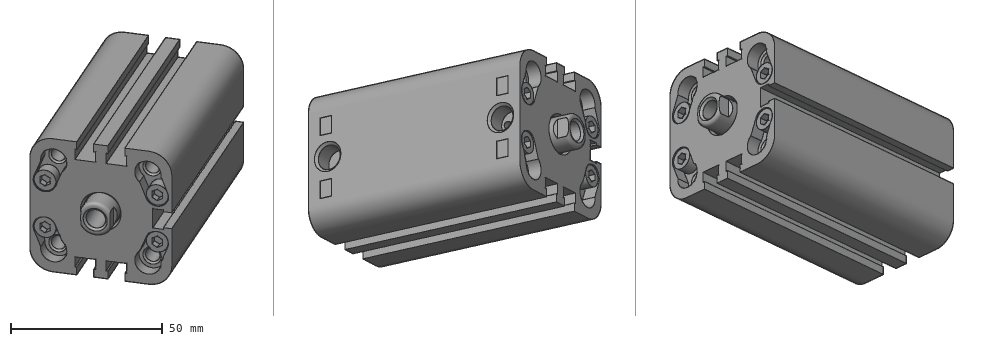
import cadquery as cq
import math


total_length = 90.2
width = 49.0
corner_radius = 7.9
rod_length = 6.5
half_width = width / 2
front_y = -total_length / 2 + rod_length
back_y = total_length / 2
body_length = back_y - front_y

slot_mouth = 5.9
slot_inner = 7.1
slot_lip = 2.9
slot_depth = 6.6
slot_offset = 5.37

mount_offset = 16.2
mount_diameter = 5.0
mount_sink_diameter = 6.3
mount_pocket_diameter = 9.0
pocket_depth = 5.0
screw_x = 19.35
screw_z = 8.61
screw_bore_diameter = 7.9
screw_head_diameter = 7.5
screw_recess = 0.4
hex_flats = 3.6
hex_depth = 2.7

rod_diameter = 12.0
rod_tip_fillet = 1.3
rod_flats = 10.0
rod_flat_length = 4.4
rod_bore = 6.7
rod_bore_sink = 8.3
rod_bore_depth = 12.6
rod_bore_cone_depth = 1.8
rod_bore_end = 1.7
rod_clearance = 12.5
rod_recess_mouth = 14.0
rod_recess_taper = 1.5
rod_recess_depth = 2.7

port_diameter = 8.6
port_sink_diameter = 10.5
port_depth = 7.2
port_inset = 7.7
passage_diameter = 2.5
passage_offset = 2.0
passage_depth = 3.6

label_length = 4.4
label_height = 6.1
label_depth = 0.2
label_inset = 6.95
label_z = 11.1


def turned(points, x=0, z=0):
    """Solid of revolution about a Y-parallel axis, from (radius, y) points."""
    profile = cq.Workplane("XY").polyline(points).close()
    return profile.revolve(360, (0, 0), (0, 1)).translate((x, 0, z))


def rod_along_y(diameter, start_y, end_y, x=0, z=0):
    """Cylinder parallel to Y between two Y positions."""
    radius = diameter / 2
    return turned([(0, start_y), (radius, start_y), (radius, end_y), (0, end_y)], x, z)


def make_body():
    block = cq.Workplane("XY").box(width, body_length, width)
    return block.edges("|Y").fillet(corner_radius).translate((0, (front_y + back_y) / 2, 0))


def slot_cutter(offset, angle):
    """Undercut groove opening on the +Z face at x = offset, turned about Y by angle."""
    mouth = cq.Workplane("XY").box(slot_mouth, total_length, slot_depth)
    mouth = mouth.translate((offset, 0, half_width - slot_depth / 2))
    inner_height = slot_depth - slot_lip
    inner = cq.Workplane("XY").box(slot_inner, total_length, inner_height)
    inner = inner.translate((offset, 0, half_width - slot_depth + inner_height / 2))
    return mouth.union(inner).rotate((0, 0, 0), (0, 1, 0), angle)


def mount_cutter(side_x, side_z):
    """Through hole, countersink and front pocket running from the hole to its screw."""
    hole_x = side_x * mount_offset
    hole_z = side_z * mount_offset
    head_x = side_x * screw_x
    head_z = side_z * screw_z
    floor_y = front_y + pocket_depth
    hole_radius = mount_diameter / 2
    sink_radius = mount_sink_diameter / 2
    hole = turned(
        [
            (0, floor_y),
            (sink_radius, floor_y),
            (hole_radius, floor_y + sink_radius - hole_radius),
            (hole_radius, back_y),
            (0, back_y),
        ],
        hole_x,
        hole_z,
    )
    pocket = rod_along_y(mount_pocket_diameter, front_y, floor_y, hole_x, hole_z)
    screw_bore = rod_along_y(screw_bore_diameter, front_y, floor_y, head_x, head_z)
    run_x = hole_x - head_x
    run_z = hole_z - head_z
    bridge = cq.Workplane("XY").box(math.hypot(run_x, run_z), pocket_depth, screw_bore_diameter)
    bridge = bridge.rotate((0, 0, 0), (0, 1, 0), -math.degrees(math.atan2(run_z, run_x)))
    bridge = bridge.translate(((hole_x + head_x) / 2, front_y + pocket_depth / 2, (hole_z + head_z) / 2))
    return hole.union(pocket).union(screw_bore).union(bridge)


def cap_screw(side_x, side_z):
    """Socket head standing on the pocket floor, hexagon points up and down."""
    x = side_x * screw_x
    z = side_z * screw_z
    head_y = front_y + screw_recess
    head = rod_along_y(screw_head_diameter, head_y, front_y + pocket_depth, x, z)
    hex_points_diameter = hex_flats / math.cos(math.pi / 6)
    socket = cq.Workplane("XZ").polygon(6, hex_points_diameter).extrude(-hex_depth)
    socket = socket.rotate((0, 0, 0), (0, 1, 0), 90).translate((x, head_y, z))
    return head.cut(socket)


def rod_recess():
    """Ring-shaped clearance around the rod with a tapered mouth."""
    mouth = rod_recess_mouth / 2
    clearance = rod_clearance / 2
    core = rod_diameter / 2
    return turned(
        [
            (core, front_y),
            (mouth, front_y),
            (clearance, front_y + rod_recess_taper),
            (clearance, front_y + rod_recess_depth),
            (core, front_y + rod_recess_depth),
        ]
    )


def rod_end():
    """Projecting rod with rounded tip and two wrench flats facing +X and -X."""
    tip_y = front_y - rod_length
    rod = rod_along_y(rod_diameter, tip_y, front_y).faces("<Y").edges().fillet(rod_tip_fillet)
    shoulder_y = tip_y + rod_flat_length
    half_flats = rod_flats / 2
    radius = rod_diameter / 2
    ramp = radius - half_flats
    for side in (-1, 1):
        flat = (
            cq.Workplane("XY")
            .polyline(
                [
                    (side * half_flats, tip_y),
                    (side * half_flats, shoulder_y),
                    (side * radius, shoulder_y + ramp),
                    (side * radius, tip_y),
                ]
            )
            .close()
            .extrude(radius, both=True)
        )
        rod = rod.cut(flat)
    return rod


def rod_bore_cutter():
    """Countersunk blind bore with a conical bottom."""
    tip_y = front_y - rod_length
    sink = rod_bore_sink / 2
    bore = rod_bore / 2
    end = rod_bore_end / 2
    bore_y = tip_y + rod_bore_depth
    return turned(
        [
            (0, tip_y),
            (sink, tip_y),
            (bore, tip_y + sink - bore),
            (bore, bore_y),
            (end, bore_y + rod_bore_cone_depth),
            (0, bore_y + rod_bore_cone_depth),
        ]
    )


def port_cutter(y, inward):
    """Countersunk air port at y; its passage is shifted toward the body middle."""
    sink = port_sink_diameter / 2
    bore = port_diameter / 2
    port = (
        cq.Workplane("XY")
        .polyline([(0, 0), (0, sink), (sink - bore, bore), (port_depth, bore), (port_depth, 0)])
        .close()
        .revolve(360, (0, 0), (1, 0))
    )
    passage = (
        cq.Workplane("YZ", origin=(port_depth, inward * passage_offset, 0))
        .circle(passage_diameter / 2)
        .extrude(passage_depth)
    )
    return port.union(passage).translate((-half_width, y, 0))


def label_cutter(y, z):
    panel = cq.Workplane("XY").box(label_depth, label_length, label_height)
    return panel.translate((label_depth / 2 - half_width, y, z))


result = make_body()

for slot_angle in (0, 180):
    for slot_side in (-1, 1):
        result = result.cut(slot_cutter(slot_side * slot_offset, slot_angle))
result = result.cut(slot_cutter(0, 90))

for mount_side_x in (-1, 1):
    for mount_side_z in (-1, 1):
        result = result.cut(mount_cutter(mount_side_x, mount_side_z))
        result = result.union(cap_screw(mount_side_x, mount_side_z))

result = result.cut(rod_recess()).union(rod_end()).cut(rod_bore_cutter())

for end_y, toward_middle in ((front_y, 1), (back_y, -1)):
    result = result.cut(port_cutter(end_y + toward_middle * port_inset, toward_middle))
    for label_side in (-1, 1):
        result = result.cut(label_cutter(end_y + toward_middle * label_inset, label_side * label_z))